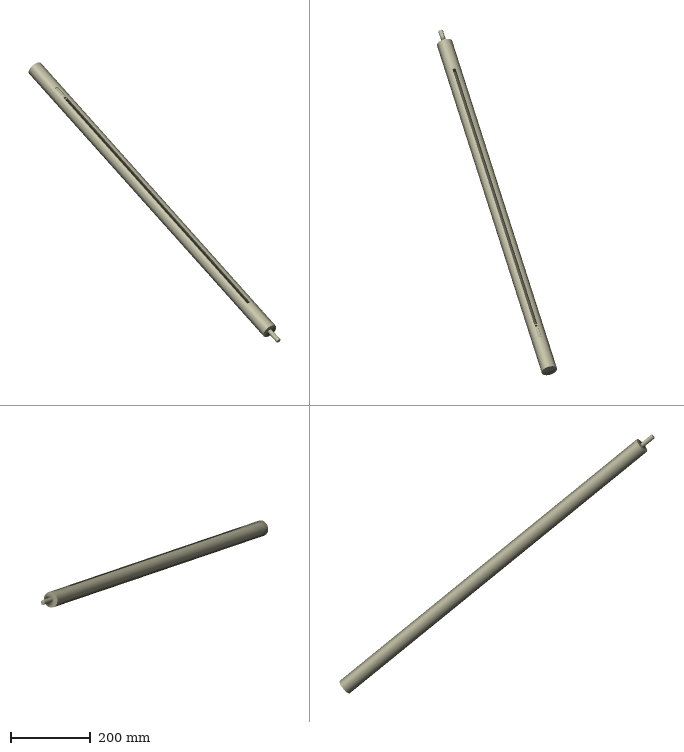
import cadquery as cq

body_diameter = 40.0
body_length = 1000.0

shaft_diameter = 12.0
shaft_length = 38.0
shaft_chamfer = 1.0

slot_end_margin = 90.0
slot_length = body_length - 2 * slot_end_margin
slot_width = 8.0
slot_depth = 15.0

block_length = 42.0
block_recess = 3.0
block_height = slot_depth - block_recess

hole_diameter = 6.0
hole_end_distance = 5.0
hole_x = slot_end_margin + block_length - hole_end_distance

body_top = body_diameter / 2
slot_floor = body_top - slot_depth


def make_body():
    return cq.Workplane("YZ").circle(body_diameter / 2).extrude(body_length)


def make_shaft():
    end_face = cq.Workplane("YZ", origin=(body_length, 0, 0))
    shaft = end_face.circle(shaft_diameter / 2).extrude(shaft_length)
    return shaft.faces(">X").chamfer(shaft_chamfer)


def make_slot_bar(length, height):
    """Bar of the slot's width, standing on the slot floor from the slot's -X end."""
    floor = cq.Workplane("XY", origin=(slot_end_margin, 0, slot_floor))
    return floor.box(length, slot_width, height, centered=(False, True, False))


def make_block():
    floor = cq.Workplane("XY", origin=(hole_x, 0, slot_floor))
    hole = floor.circle(hole_diameter / 2).extrude(block_height)
    return make_slot_bar(block_length, block_height).cut(hole)


slotted_body = make_body().cut(make_slot_bar(slot_length, slot_depth))
result = slotted_body.union(make_block()).union(make_shaft())